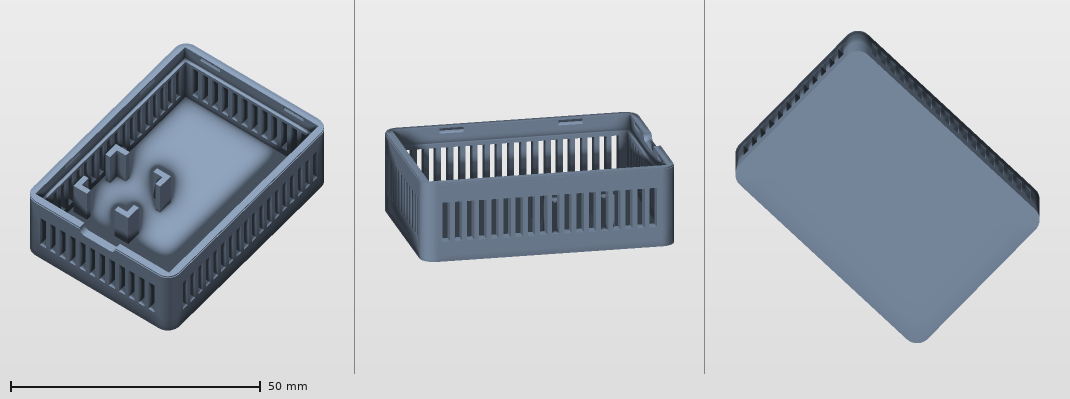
import cadquery as cq

length_x = 37.17
length_y = 52.17
height = 16.53
corner_radius = 3.0

rim_inset = 0.165
rim_height = 0.33

wall = 2.4
floor_thickness = 2.4
lip_wall = 1.665
lip_depth = 3.3

slot_width = 1.5
slot_pitch = 2.5
slot_height = height / 2
slots_along_x = 12
slots_along_y = 18

notch_width = 9.0
notch_depth = 1.6
notch_radius = 1.3

groove_length = 5.0
groove_half_height = 0.55
groove_depth = 0.3
groove_drop = 0.85
groove_offset_x = 10.6
groove_offset_y = 12.2

module_frame = 13.9
post_arm = 3.45
post_thickness = 1.2
post_height = 8.0
post_wall_gap = 0.75
frame_center_x = -length_x / 2 + wall + post_wall_gap + module_frame / 2
frame_center_y = -7.0

overcut = 1.0


def box_on(size_x, size_y, size_z, bottom):
    """Box centred on the Z axis, standing on the given height."""
    return cq.Workplane("XY").box(size_x, size_y, size_z, centered=(True, True, False)).translate((0, 0, bottom))


def rounded_block(size_x, size_y, size_z, radius):
    """Box standing on the ground with rounded upright edges."""
    return box_on(size_x, size_y, size_z, 0).edges("|Z").fillet(radius)


def make_shell():
    """Round-cornered tray with a stepped cavity that leaves a ledge for a lid."""
    body = rounded_block(length_x, length_y, height - rim_height, corner_radius)
    rim = rounded_block(length_x - 2 * rim_inset, length_y - 2 * rim_inset, height, corner_radius - rim_inset)
    body = body.union(rim)
    cavity = box_on(length_x - 2 * wall, length_y - 2 * wall, height, floor_thickness)
    lip = box_on(length_x - 2 * lip_wall, length_y - 2 * lip_wall, lip_depth + overcut, height - lip_depth)
    return body.cut(cavity).cut(lip)


def make_vent_slots():
    """Rows of upright slots, each cutter passing through two opposite walls."""
    cutters = cq.Workplane("XY")
    bottom = (height - slot_height) / 2
    for index in range(slots_along_x):
        x = (index - (slots_along_x - 1) / 2) * slot_pitch
        slot = box_on(slot_width, length_y + 2 * overcut, slot_height, bottom)
        cutters = cutters.add(slot.translate((x, 0, 0)))
    for index in range(slots_along_y):
        y = (index - (slots_along_y - 1) / 2) * slot_pitch
        slot = box_on(length_x + 2 * overcut, slot_width, slot_height, bottom)
        cutters = cutters.add(slot.translate((0, y, 0)))
    return cutters.combine()


def make_notch():
    """Finger notch with rounded lower corners in the -Y rim."""
    notch = box_on(notch_width, 2 * wall, notch_depth + overcut, height - notch_depth)
    notch = notch.edges("|Y and <Z").fillet(notch_radius)
    return notch.translate((0, -length_y / 2, 0))


def groove_bar(span):
    """Bar along X whose pointed ends cut a V groove into two opposite lip walls."""
    shoulder = span / 2
    tip = shoulder + groove_depth
    outline = [
        (-shoulder, -groove_half_height),
        (shoulder, -groove_half_height),
        (tip, 0),
        (shoulder, groove_half_height),
        (-shoulder, groove_half_height),
        (-tip, 0),
    ]
    bar = cq.Workplane("XZ").polyline(outline).close().extrude(groove_length / 2, both=True)
    return bar.translate((0, 0, height - groove_drop))


def make_snap_grooves():
    """Two V grooves on the inner face of each lip wall."""
    cutters = cq.Workplane("XY")
    across_x = groove_bar(length_x - 2 * lip_wall)
    across_y = groove_bar(length_y - 2 * lip_wall).rotate((0, 0, 0), (0, 0, 1), 90)
    for side in (-1, 1):
        cutters = cutters.add(across_x.translate((0, side * groove_offset_y, 0)))
        cutters = cutters.add(across_y.translate((side * groove_offset_x, 0, 0)))
    return cutters.combine()


def make_posts():
    """Square ring on the floor, reduced to its four L-shaped corners."""
    inner = module_frame - 2 * post_thickness
    gap = module_frame - 2 * post_arm
    ring = box_on(module_frame, module_frame, post_height, floor_thickness)
    ring = ring.cut(box_on(inner, inner, post_height, floor_thickness))
    ring = ring.cut(box_on(gap, module_frame, post_height, floor_thickness))
    ring = ring.cut(box_on(module_frame, gap, post_height, floor_thickness))
    return ring.translate((frame_center_x, frame_center_y, 0))


tray = make_shell().cut(make_vent_slots()).cut(make_notch()).cut(make_snap_grooves())
result = tray.union(make_posts())